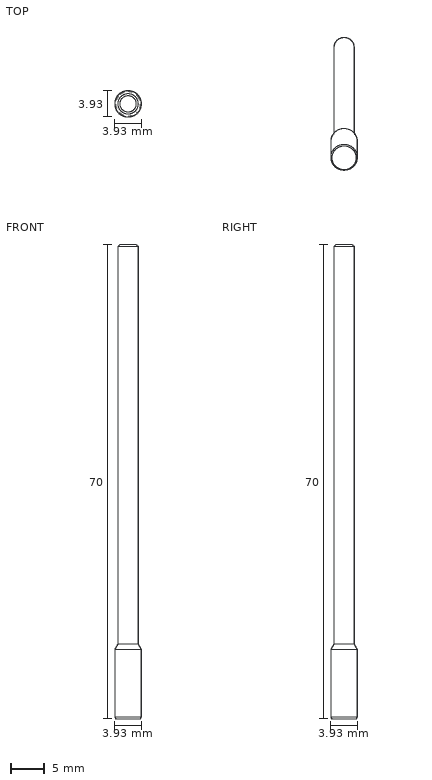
import cadquery as cq
import math

total_length = 70.0

head_diameter = 3.93
head_length = 11.1
head_end_chamfer_height = 0.3
taper_half_angle = 30.0

shank_diameter = 3.0
shank_end_chamfer = 0.3
shank_length = total_length - head_length

shoulder_step = (head_diameter - shank_diameter) / 2
taper_slope = math.tan(math.radians(taper_half_angle))
shoulder_height = shoulder_step / taper_slope

head_end_chamfer_width = head_end_chamfer_height * taper_slope


def make_head():
    """Solid head with a chamfered lower end and a conical shoulder on top."""
    return (
        cq.Workplane("XY")
        .circle(head_diameter / 2)
        .extrude(head_length)
        .faces("<Z")
        .chamfer(head_end_chamfer_height, head_end_chamfer_width)
        .faces(">Z")
        .chamfer(shoulder_height, shoulder_step)
    )


def make_shank():
    """Plain rod with a chamfered upper end, seated on the flat top of the head."""
    return (
        cq.Workplane("XY")
        .workplane(offset=head_length)
        .circle(shank_diameter / 2)
        .extrude(shank_length)
        .faces(">Z")
        .chamfer(shank_end_chamfer)
    )


head = make_head()
shank = make_shank()

result = cq.Compound.makeCompound([head.val(), shank.val()])